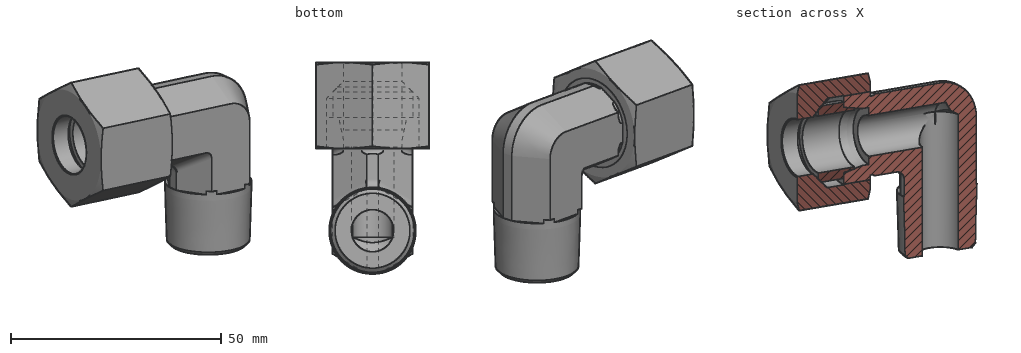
import cadquery as cq
import math


CUT_MARGIN = 0.5

HEX_ACROSS_FLATS = 19.0
LEG_HALF_DEPTH = 10.15
VALLEY_FILLET = 2.0
HEX_TILT = math.radians(30)
FLAT_X = HEX_ACROSS_FLATS / 2
HEX_CORNER = FLAT_X / math.cos(HEX_TILT)
FLAT_EDGE_HEIGHT = HEX_CORNER / 2
TRUNCATION_X = (HEX_CORNER - LEG_HALF_DEPTH) / math.tan(HEX_TILT)

BORE_DIA = 10.0
BORE_OVERRUN = 1.5
DRILL_POINT_ANGLE = 118.0
DRILL_POINT = BORE_DIA / 2 / math.tan(math.radians(DRILL_POINT_ANGLE / 2))

THREAD_END = 32.0
COLLAR_DIA = 20.65
COLLAR_TOP = 16.45
COLLAR_BOTTOM = 17.95
CORNER_RELIEF = 0.9
THREAD_CHAMFER = 1.0
THREAD_TAPER = 1 / 32

NUT_ACROSS_FLATS = 27.0
NUT_BACK = 19.55
NUT_FRONT = 40.0
NUT_CHAMFER_DIA = 26.9
NUT_CHAMFER_ANGLE = math.radians(15)
NUT_MOUTH_DIA = 14.45
NUT_LIP = 4.5

STUD_THREAD_DIA = 22.0
STUD_END = 27.0
NECK_DIA = 19.7
NECK_START = 19.0
NECK_FILLET = 1.0
TUBE_DIA = 14.0
TUBE_STOP_DEPTH = 7.0
CONE_MOUTH_DIA = 16.2
CONE_HALF_ANGLE = math.radians(12)

RING_DIA = 19.0
RING_FACE_DIA = 16.7
RING_NOSE = 3.0


def revolve_about_y(points):
    """Turn a closed (radius, distance along -Y) outline about the Y axis."""
    outline = [(radius, -distance) for radius, distance in points]
    return cq.Workplane("XY").polyline(outline).close().revolve(360, (0, 0, 0), (0, 1, 0))


def revolve_about_z(points):
    """Turn a closed (radius, distance along -Z) outline about the Z axis."""
    outline = [(radius, -distance) for radius, distance in points]
    return cq.Workplane("XZ").polyline(outline).close().revolve(360, (0, 0, 0), (0, 1, 0))


def leg_section(plane):
    """Hexagon with its two outer corners cut off, drawn square to a leg axis."""
    upper = [
        (FLAT_X, FLAT_EDGE_HEIGHT),
        (TRUNCATION_X, LEG_HALF_DEPTH),
        (-TRUNCATION_X, LEG_HALF_DEPTH),
        (-FLAT_X, FLAT_EDGE_HEIGHT),
    ]
    lower = [(-x, -height) for x, height in upper]
    return cq.Workplane(plane).polyline(upper + lower).close()


def outer_bend():
    """Outer half of the leg section swung through the quarter turn between the legs."""
    half_section = [
        (FLAT_X, 0),
        (FLAT_X, FLAT_EDGE_HEIGHT),
        (TRUNCATION_X, LEG_HALF_DEPTH),
        (-TRUNCATION_X, LEG_HALF_DEPTH),
        (-FLAT_X, FLAT_EDGE_HEIGHT),
        (-FLAT_X, 0),
    ]
    return cq.Workplane("XZ").polyline(half_section).close().revolve(90, (0, 0, 0), (-1, 0, 0))


def forging():
    """Two legs, rounded outside the bend and filleted in the valley between them."""
    along_y = leg_section("XZ").extrude(NUT_BACK)
    along_z = leg_section("XY").extrude(-COLLAR_TOP)
    legs = along_y.union(along_z).union(outer_bend())
    outer = -LEG_HALF_DEPTH - CUT_MARGIN
    inner = -FLAT_EDGE_HEIGHT + CUT_MARGIN
    valley = cq.selectors.BoxSelector((-FLAT_X, outer, outer), (FLAT_X, inner, inner))
    return legs.edges(valley).fillet(VALLEY_FILLET)


def neck_cutter():
    """Material turned off the hexagon beside the nut, ending in a concave fillet."""
    neck = NECK_DIA / 2
    outside = HEX_CORNER + CUT_MARGIN
    diagonal = NECK_FILLET * (1 - math.sqrt(0.5))
    shoulder = NECK_START - NECK_FILLET
    return (
        cq.Workplane("XY")
        .moveTo(neck, -NUT_BACK)
        .lineTo(neck, -NECK_START)
        .threePointArc((neck + diagonal, -shoulder - diagonal), (neck + NECK_FILLET, -shoulder))
        .lineTo(outside, -shoulder)
        .lineTo(outside, -NUT_BACK)
        .close()
        .revolve(360, (0, 0, 0), (0, 1, 0))
    )


def corner_relief_cutter():
    """Turns the hexagon corners above the collar down to the collar diameter."""
    return (
        cq.Workplane("XY", origin=(0, 0, -COLLAR_TOP))
        .circle(HEX_CORNER + CUT_MARGIN)
        .circle(COLLAR_DIA / 2)
        .extrude(CORNER_RELIEF)
    )


def taper_thread():
    """Collar, tapered thread envelope and end chamfer on the -Z leg."""
    collar = COLLAR_DIA / 2
    chamfer_start = THREAD_END - THREAD_CHAMFER
    thread_tip = collar - (chamfer_start - COLLAR_BOTTOM) * THREAD_TAPER
    return revolve_about_z([
        (0, COLLAR_TOP),
        (collar, COLLAR_TOP),
        (collar, COLLAR_BOTTOM),
        (thread_tip, chamfer_start),
        (thread_tip - THREAD_CHAMFER, THREAD_END),
        (0, THREAD_END),
    ])


def drilled_bore(end):
    """Outline of a flow bore from a leg end to a drill point beyond the origin."""
    radius = BORE_DIA / 2
    return [
        (0, end),
        (radius, end),
        (radius, -BORE_OVERRUN),
        (0, -BORE_OVERRUN - DRILL_POINT),
    ]


def tube_socket():
    """Sealing cone and tube hole in the end of the stud."""
    mouth = CONE_MOUTH_DIA / 2
    tube = TUBE_DIA / 2
    cone_end = STUD_END - (mouth - tube) / math.tan(CONE_HALF_ANGLE)
    stop = STUD_END - TUBE_STOP_DEPTH
    return revolve_about_y([(0, STUD_END), (mouth, STUD_END), (tube, cone_end), (tube, stop), (0, stop)])


def make_elbow():
    stud = cq.Workplane("XZ", origin=(0, -NUT_BACK, 0)).circle(STUD_THREAD_DIA / 2)
    stud = stud.extrude(STUD_END - NUT_BACK)
    outside = forging().cut(neck_cutter()).cut(corner_relief_cutter()).union(taper_thread()).union(stud)
    bored = outside.cut(revolve_about_y(drilled_bore(STUD_END))).cut(revolve_about_z(drilled_bore(THREAD_END)))
    return bored.cut(tube_socket())


def nut_envelope():
    """Turned blank that chamfers the hexagon corners at both ends of the nut."""
    face = NUT_CHAMFER_DIA / 2
    rim = NUT_ACROSS_FLATS / math.sqrt(3) + CUT_MARGIN
    drop = (rim - face) * math.tan(NUT_CHAMFER_ANGLE)
    return revolve_about_y([
        (0, NUT_BACK),
        (face, NUT_BACK),
        (rim, NUT_BACK + drop),
        (rim, NUT_FRONT - drop),
        (face, NUT_FRONT),
        (0, NUT_FRONT),
    ])


def nut_cavity():
    """Tube hole, 45 degree seat for the ring, and thread hole."""
    mouth = NUT_MOUTH_DIA / 2
    tube = TUBE_DIA / 2
    thread = STUD_THREAD_DIA / 2
    seat = NUT_FRONT - NUT_LIP
    return revolve_about_y([
        (0, NUT_FRONT),
        (mouth, NUT_FRONT),
        (tube, NUT_FRONT - (mouth - tube)),
        (tube, seat),
        (thread, seat - (thread - tube)),
        (thread, NUT_BACK),
        (0, NUT_BACK),
    ])


def make_nut():
    corner_dia = 2 * NUT_ACROSS_FLATS / math.sqrt(3)
    blank = cq.Workplane("XZ", origin=(0, -NUT_BACK, 0)).transformed(rotate=(0, 0, 90))
    blank = blank.polygon(6, corner_dia).extrude(NUT_FRONT - NUT_BACK)
    return blank.intersect(nut_envelope()).cut(nut_cavity())


def make_ring():
    """Ring seated on the 45 degree seat of the nut, its nose in the cone of the stud."""
    tube = TUBE_DIA / 2
    rim = RING_DIA / 2
    face = RING_FACE_DIA / 2
    front = NUT_FRONT - NUT_LIP - (face - tube)
    mouth = CONE_MOUTH_DIA / 2
    return revolve_about_y([
        (tube, front),
        (face, front),
        (rim, front - (rim - face)),
        (rim, STUD_END),
        (mouth, STUD_END),
        (mouth - RING_NOSE * math.tan(CONE_HALF_ANGLE), STUD_END - RING_NOSE),
        (tube, STUD_END - RING_NOSE),
    ])


elbow = make_elbow()
nut = make_nut()
ring = make_ring()

result = cq.Compound.makeCompound([elbow.solids().val(), nut.solids().val(), ring.solids().val()])